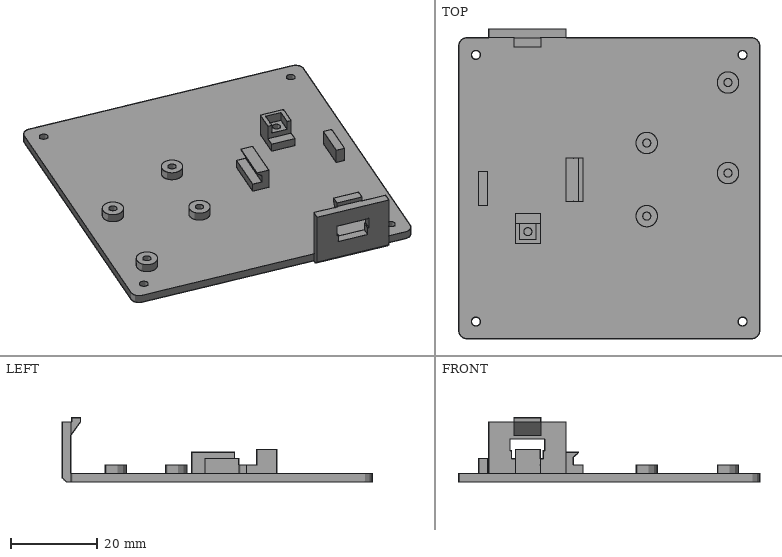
import cadquery as cq

plate_size = 70.0
plate_thickness = 2.0
corner_radius = 2.0
corner_hole_diameter = 2.0
corner_hole_inset = 4.0

wall_thickness = 2.0
wall_width = 18.0
wall_left = 7.0
wall_top = 14.0
wall_bottom_chamfer = 1.0
wall_middle = wall_left + wall_width / 2

window_upper_width = 8.0
window_lower_width = 7.35
window_top = 10.0
window_step = 7.35
window_bottom = 5.5

hook_width = 6.3
hook_reach = 2.2
hook_setback = 0.15
hook_top = 15.0
hook_lip = 1.0
hook_bottom = 10.9

standoff_diameter = 5.0
standoff_hole_diameter = 1.9
standoff_height = 2.0
standoff_right_x = 62.6
standoff_left_x = 43.7
standoff_centers = [
    (standoff_right_x, 59.55),
    (standoff_left_x, 45.5),
    (standoff_right_x, 38.5),
    (standoff_left_x, 28.5),
]

stop_left = 4.7
stop_front = 30.95
stop_width = 2.1
stop_length = 7.9
stop_top = 5.55

clip_left = 24.9
clip_front = 32.0
clip_length = 10.0
clip_top = 7.0
clip_foot_width = 4.0
clip_foot_top = 4.0
clip_lip_width = 2.95
clip_stem_width = 1.7
clip_groove_top = 5.75
clip_lip_edge = 0.15

holder_left = 13.2
holder_front = 22.2
holder_width = 5.8
holder_length = 7.0
holder_block_length = 4.7
holder_shelf_top = 4.0
holder_top = 7.6
pocket_side_wall = 1.0
pocket_front_wall = 0.9
pocket_floor = 5.4
holder_hole_diameter = 1.9
holder_hole_y = 24.9


def box_from(x, y, z, width, length, height):
    """Box given by its lowest corner and its sizes along X, Y and Z."""
    return cq.Workplane("XY").box(width, length, height, centered=False).translate((x, y, z))


def make_plate():
    hole_pitch = plate_size - 2 * corner_hole_inset
    middle = plate_size / 2
    return (
        box_from(0, 0, 0, plate_size, plate_size, plate_thickness)
        .edges("|Z")
        .fillet(corner_radius)
        .faces(">Z")
        .workplane(origin=(middle, middle, 0))
        .rect(hole_pitch, hole_pitch, forConstruction=True)
        .vertices()
        .hole(corner_hole_diameter)
    )


def make_window():
    def opening(width, bottom, top):
        return box_from(wall_middle - width / 2, plate_size, bottom, width, wall_thickness, top - bottom)

    upper = opening(window_upper_width, window_step, window_top)
    lower = opening(window_lower_width, window_bottom, window_step)
    return upper.union(lower)


def make_hook():
    wall_face = plate_size
    tip = wall_face - hook_reach
    return (
        cq.Workplane("YZ")
        .moveTo(wall_face, hook_bottom)
        .lineTo(wall_face, wall_top)
        .lineTo(wall_face - hook_setback, wall_top)
        .lineTo(wall_face - hook_setback, hook_top)
        .lineTo(tip, hook_top)
        .lineTo(tip, hook_top - hook_lip)
        .close()
        .extrude(hook_width)
        .translate((wall_middle - hook_width / 2, 0, 0))
    )


def make_wall():
    slab = box_from(wall_left, plate_size, 0, wall_width, wall_thickness, wall_top)
    slab = slab.edges(">Y and <Z").chamfer(wall_bottom_chamfer)
    return slab.cut(make_window()).union(make_hook())


def make_standoffs():
    return (
        cq.Workplane("XY", origin=(0, 0, plate_thickness))
        .pushPoints(standoff_centers)
        .circle(standoff_diameter / 2)
        .circle(standoff_hole_diameter / 2)
        .extrude(standoff_height)
    )


def make_stop_bar():
    height = stop_top - plate_thickness
    return box_from(stop_left, stop_front, plate_thickness, stop_width, stop_length, height)


def make_clip_bar():
    profile = [
        (0, plate_thickness),
        (clip_foot_width, plate_thickness),
        (clip_foot_width, clip_foot_top),
        (clip_stem_width, clip_foot_top),
        (clip_stem_width, clip_groove_top),
        (clip_lip_width, clip_top - clip_lip_edge),
        (clip_lip_width, clip_top),
        (0, clip_top),
    ]
    return (
        cq.Workplane("XZ")
        .polyline(profile)
        .close()
        .extrude(-clip_length)
        .translate((clip_left, clip_front, 0))
    )


def make_holder():
    shelf_height = holder_shelf_top - plate_thickness
    block_height = holder_top - plate_thickness
    shelf = box_from(holder_left, holder_front, plate_thickness, holder_width, holder_length, shelf_height)
    block = box_from(holder_left, holder_front, plate_thickness, holder_width, holder_block_length, block_height)
    pocket = box_from(
        holder_left + pocket_side_wall,
        holder_front + pocket_front_wall,
        pocket_floor,
        holder_width - 2 * pocket_side_wall,
        holder_block_length - pocket_front_wall,
        holder_top - pocket_floor,
    )
    hole = (
        cq.Workplane("XY", origin=(holder_left + holder_width / 2, holder_hole_y, plate_thickness))
        .circle(holder_hole_diameter / 2)
        .extrude(block_height)
    )
    return shelf.union(block).cut(pocket).cut(hole)


result = (
    make_plate()
    .union(make_wall())
    .union(make_standoffs())
    .union(make_stop_bar())
    .union(make_clip_bar())
    .union(make_holder())
)